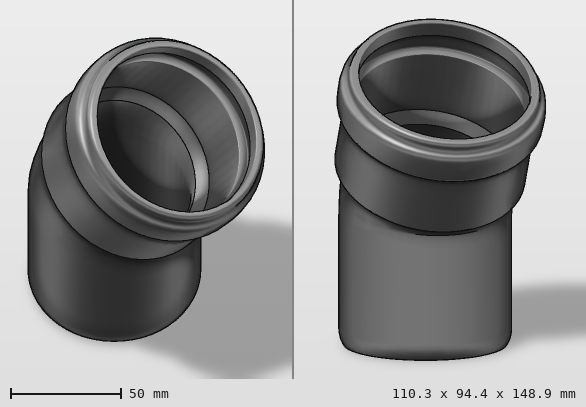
import cadquery as cq
import math

bend_angle = 30
pipe_radius = 39.0
bore_diameter = 69.0
bore_radius = bore_diameter / 2
bend_radius = 36.3
straight_length = 58.5
nose_height = 7.0
nose_inset = 2.2

shoulder_start = 2.7
shoulder_end = 6.5
socket_radius = 43.3
barrel_end = 34.7
neck_end = 38.3
neck_radius = 44.8
neck_rounding = 4.0
bead_start = 41.3
bead_start_radius = 46.9
bead_middle = 45.3
bead_radius = 47.2
bead_end = 51.1
bead_end_radius = 46.8
step_start = 53.8
step_start_radius = 45.0
step_rounding = 3.5
rim_start = 56.9
rim_radius = 43.5
rim_end = 59.4
rim_rounding = rim_end - rim_start

socket_bore_radius = 39.2
bore_cone_end = 7.5
bore_end_rounding = 0.5
groove_start = 40.7
groove_corner = 0.9
groove_end = 51.1
groove_radius = 43.8
mouth_radius = 39.3
mouth_rounding = 0.7
lip_rounding = 1.5


def bent_rod(radius):
    """Straight rod followed by the bend, on the pipe axis."""
    straight = cq.Workplane("XY").circle(radius).extrude(straight_length)
    section = cq.Workplane("XY", origin=(0, 0, straight_length))
    if radius > bend_radius:
        half_chord = math.sqrt(radius**2 - bend_radius**2)
        section = (
            section.moveTo(bend_radius, half_chord)
            .threePointArc((-radius, 0), (bend_radius, -half_chord))
            .close()
        )
    else:
        section = section.circle(radius)
    bend = section.revolve(bend_angle, (bend_radius, 0), (bend_radius, 1))
    return straight.union(bend)


def place_on_bend(body):
    """Move a body from the origin to the outlet of the bend."""
    return body.translate((0, 0, straight_length)).rotate(
        (bend_radius, 0, straight_length), (bend_radius, 1, straight_length), bend_angle
    )


def nose_cutter():
    """Ring that rounds the outside of the spigot end."""
    profile = (
        cq.Workplane("XZ")
        .moveTo(pipe_radius - nose_inset, 0)
        .threePointArc(
            (pipe_radius - nose_inset / 4, nose_height / 2),
            (pipe_radius, nose_height),
        )
        .lineTo(pipe_radius + nose_inset, nose_height)
        .lineTo(pipe_radius + nose_inset, 0)
        .close()
    )
    return profile.revolve(360, (0, 0), (0, 1))


def socket_outside():
    """Solid socket with shoulder, barrel, seal bead and rounded rim."""
    profile = (
        cq.Workplane("XZ")
        .lineTo(pipe_radius, 0)
        .lineTo(pipe_radius, shoulder_start)
        .lineTo(socket_radius, shoulder_end)
        .lineTo(socket_radius, barrel_end)
        .radiusArc((neck_radius, neck_end), neck_rounding)
        .radiusArc((bead_start_radius, bead_start), -neck_rounding)
        .threePointArc((bead_radius, bead_middle), (bead_end_radius, bead_end))
        .radiusArc((step_start_radius, step_start), -step_rounding)
        .radiusArc((rim_radius, rim_start), step_rounding)
        .radiusArc((rim_radius - rim_rounding, rim_end), -rim_rounding)
        .lineTo(0, rim_end)
        .close()
    )
    return profile.revolve(360, (0, 0), (0, 1))


def socket_inside():
    """Cavity of the socket: cone, bore, seal groove and rounded mouth."""
    profile = (
        cq.Workplane("XZ")
        .lineTo(bore_radius, 0)
        .lineTo(bore_radius, shoulder_start)
        .lineTo(socket_bore_radius, bore_cone_end)
        .lineTo(socket_bore_radius, groove_start - bore_end_rounding)
        .radiusArc((socket_bore_radius + bore_end_rounding, groove_start), bore_end_rounding)
        .lineTo(groove_radius - groove_corner, groove_start)
        .radiusArc((groove_radius, groove_start + groove_corner), -groove_corner)
        .lineTo(groove_radius, groove_end - groove_corner)
        .radiusArc((groove_radius - groove_corner, groove_end), -groove_corner)
        .lineTo(mouth_radius + lip_rounding, groove_end)
        .radiusArc((mouth_radius, groove_end + lip_rounding), lip_rounding)
        .lineTo(mouth_radius, rim_end - mouth_rounding)
        .radiusArc((mouth_radius + mouth_rounding, rim_end), mouth_rounding)
        .lineTo(0, rim_end)
        .close()
    )
    return profile.revolve(360, (0, 0), (0, 1))


outside = bent_rod(pipe_radius).cut(nose_cutter()).union(place_on_bend(socket_outside()))
result = outside.cut(bent_rod(bore_radius)).cut(place_on_bend(socket_inside()))